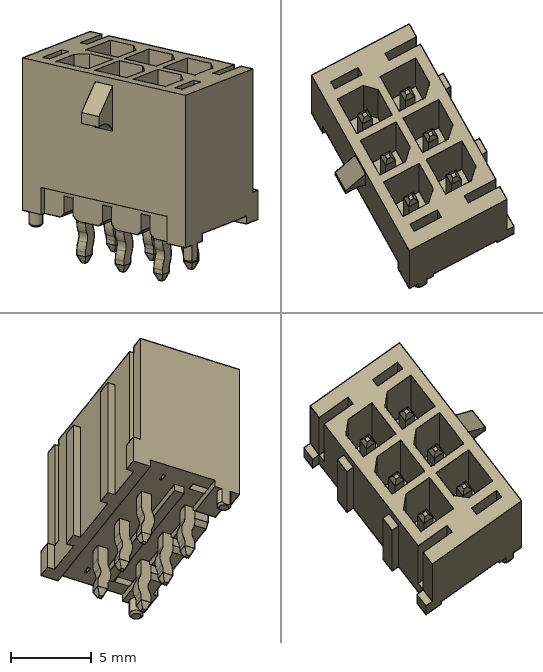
import math

import cadquery as cq


body_width = 12.7
body_depth = 6.87
body_height = 9.88
half_width = body_width / 2

pitch = 3.0
column_xs = [-pitch, 0.0, pitch]
front_row_y = 1.935
rear_row_y = front_row_y + pitch

cavity_size = 2.5
cavity_chamfer = 0.68
cavity_floor_z = 2.5

pin_size = 0.69
pin_tip_size = 0.27
pin_taper = 0.51
pin_top_z = 7.9
pin_bottom_z = -3.22
bend_start_z = -0.6
bend_middle_z = -1.51
bend_handover_z = -1.2
bend_offset = 0.21

channel_height = 0.5
channel_front_y = 1.72
foot_depth = 0.7
channel_rear_y = body_depth - foot_depth
rail_depth = 0.66
rail_y = (front_row_y + rear_row_y) / 2

recess_half_width = 4.89
recess_height = 1.76
recess_depth = 0.31
pin_slot_height = 1.42
pin_slot_flare = 0.3

side_slot_width = 0.52
side_slot_x = recess_half_width + side_slot_width / 2
front_slot_start_y = 0.85
front_slot_end_y = 2.76
rear_slot_start_y = 4.66
rear_slot_floor_y = 4.82
rear_slot_floor_z = 1.9

rib_projection = 0.49
rib_width = 0.98
rib_x = 2.355
rib_top_z = 8.7
foot_width = 0.93
foot_top_z = 1.9

latch_width = 1.36
latch_projection = 1.4
latch_top_z = 9.42
latch_tip_top_z = 7.77
latch_tip_bottom_z = 7.07
latch_root_z = 6.47
latch_arch_y = -1.0
latch_arch_z = 7.15

peg_radius = 0.43
peg_length = 1.15
peg_chamfer = 0.14
peg_flat_offset = 0.33
peg_x = half_width - peg_flat_offset
peg_y = 0.93


def block(x_range, y_range, z_range):
    """Axis-aligned box between the given limits."""
    size = [high - low for low, high in (x_range, y_range, z_range)]
    origin = (x_range[0], y_range[0], z_range[0])
    return cq.Workplane("XY").box(*size, centered=False).translate(origin)


def centred(middle, size):
    """Limits of a span of the given size around its middle."""
    return (middle - size / 2, middle + size / 2)


def make_body():
    """Housing block with the ribs and corner feet on its rear face."""
    body = block((-half_width, half_width), (0, body_depth), (0, body_height))
    for side in (-1, 1):
        foot_x = side * (half_width - foot_width / 2)
        rear_span = (body_depth, body_depth + rib_projection)
        body = body.union(block(centred(foot_x, foot_width), rear_span, (0, foot_top_z)))
        body = body.union(block(centred(side * rib_x, rib_width), rear_span, (0, rib_top_z)))
    return body


def cut_underside(body):
    """Clear the channel under the housing, leaving its centre rail, and cut the latch-face recess."""
    full_width = (-half_width, half_width)
    channel = block(full_width, (channel_front_y, channel_rear_y), (0, channel_height))
    recess_span = (-recess_half_width, recess_half_width)
    rail = block(recess_span, centred(rail_y, rail_depth), (0, channel_height))
    recess = block(recess_span, (0, recess_depth), (0, recess_height))
    return body.cut(channel).union(rail).cut(recess)


def pin_slot(x):
    """Slot through the front wall ahead of a pin, flared at its mouth."""
    inner = pin_size / 2
    outer = inner + pin_slot_flare
    return (
        cq.Workplane("XZ")
        .moveTo(x - outer, 0)
        .lineTo(x - inner, pin_slot_flare)
        .lineTo(x - inner, pin_slot_height)
        .lineTo(x + inner, pin_slot_height)
        .lineTo(x + inner, pin_slot_flare)
        .lineTo(x + outer, 0)
        .close()
        .extrude(-channel_front_y)
    )


def cavity(x, y, chamfered_side):
    """Cavity open at the top, with one rear corner cut off on the given side."""
    prism = block(centred(x, cavity_size), centred(y, cavity_size), (cavity_floor_z, body_height))
    corner = ">X and >Y" if chamfered_side > 0 else "<X and >Y"
    return prism.edges("|Z").edges(corner).chamfer(cavity_chamfer)


def cut_side_slots(body):
    """Cut a front and a rear slot at each end; the rear one has a floor and a narrow through window."""
    for side in (-1, 1):
        x_span = centred(side * side_slot_x, side_slot_width)
        front_span = (front_slot_start_y, front_slot_end_y)
        body = body.cut(block(x_span, front_span, (channel_height, body_height)))
        rear_span = (rear_slot_start_y, body_depth)
        body = body.cut(block(x_span, rear_span, (rear_slot_floor_z, body_height)))
        window_span = (rear_slot_start_y, rear_slot_floor_y)
        body = body.cut(block(x_span, window_span, (0, body_height)))
    return body


def make_latch():
    """Latch ramp with an arched underside."""
    return (
        cq.Workplane("YZ")
        .moveTo(0, latch_top_z)
        .lineTo(-latch_projection, latch_tip_top_z)
        .lineTo(-latch_projection, latch_tip_bottom_z)
        .threePointArc((latch_arch_y, latch_arch_z), (0, latch_root_z))
        .close()
        .extrude(latch_width / 2, both=True)
    )


def make_peg(side):
    """Chamfered locating peg, trimmed flush with the housing side."""
    peg = (
        cq.Workplane("XY")
        .center(side * peg_x, peg_y)
        .circle(peg_radius)
        .extrude(-peg_length)
        .faces("<Z")
        .chamfer(peg_chamfer)
    )
    envelope = block((-half_width, half_width), (0, body_depth), (-peg_length, 0))
    return peg.intersect(envelope)


def bend_points(face_y):
    """Points from top to bottom of one bent pin face: ends and midpoints of three tangent arcs.

    The bends on both faces of a pin share their centres, so the pin keeps its thickness.
    """
    half_drop = bend_start_z - bend_middle_z
    radius_sum = (half_drop**2 + bend_offset**2) / (2 * bend_offset)
    bend_angle = math.asin(half_drop / radius_sum)
    radius = (bend_start_z - bend_handover_z) / math.sin(bend_angle) - face_y

    upper_arc = []
    for angle in (0, bend_angle / 2, bend_angle):
        y = face_y + radius * (1 - math.cos(angle))
        z = bend_start_z - radius * math.sin(angle)
        upper_arc.append((y, z))
    middle = (face_y + bend_offset, bend_middle_z)
    lower_arc = [(y, 2 * bend_middle_z - z) for y, z in reversed(upper_arc)]
    return upper_arc + [middle] + lower_arc


def pin_end(start_z, direction):
    """Square frustum closing off a pin, pointing up or down."""
    return (
        cq.Workplane("XY")
        .workplane(offset=start_z)
        .rect(pin_size, pin_size)
        .workplane(offset=direction * pin_taper)
        .rect(pin_tip_size, pin_tip_size)
        .loft()
    )


def make_pin():
    """Pin on the Z axis whose solder tail bows towards +Y."""
    shaft_top_z = pin_top_z - pin_taper
    shaft_bottom_z = pin_bottom_z + pin_taper
    front = bend_points(0)
    rear = bend_points(pin_size)[::-1]
    shaft = (
        cq.Workplane("YZ")
        .moveTo(0, shaft_top_z)
        .lineTo(*front[0])
        .threePointArc(front[1], front[2])
        .threePointArc(front[3], front[4])
        .threePointArc(front[5], front[6])
        .lineTo(0, shaft_bottom_z)
        .lineTo(pin_size, shaft_bottom_z)
        .lineTo(*rear[0])
        .threePointArc(rear[1], rear[2])
        .threePointArc(rear[3], rear[4])
        .threePointArc(rear[5], rear[6])
        .lineTo(pin_size, shaft_top_z)
        .close()
        .extrude(pin_size / 2, both=True)
        .translate((0, -pin_size / 2, 0))
    )
    return shaft.union(pin_end(shaft_top_z, 1)).union(pin_end(shaft_bottom_z, -1))


def make_part():
    """Housing with its cavities, pin slots and all six pins."""
    part = cut_side_slots(cut_underside(make_body()))
    part = part.union(make_latch())
    for side in (-1, 1):
        part = part.union(make_peg(side))

    front_pin = make_pin()
    rear_pin = front_pin.mirror("XZ")
    for x in column_xs:
        polarising_side = -1 if x == column_xs[0] else 1
        part = part.cut(cavity(x, front_row_y, polarising_side))
        part = part.cut(cavity(x, rear_row_y, 1))
        part = part.cut(pin_slot(x))
        part = part.union(front_pin.translate((x, front_row_y, 0)))
        part = part.union(rear_pin.translate((x, rear_row_y, 0)))
    return part


result = make_part()